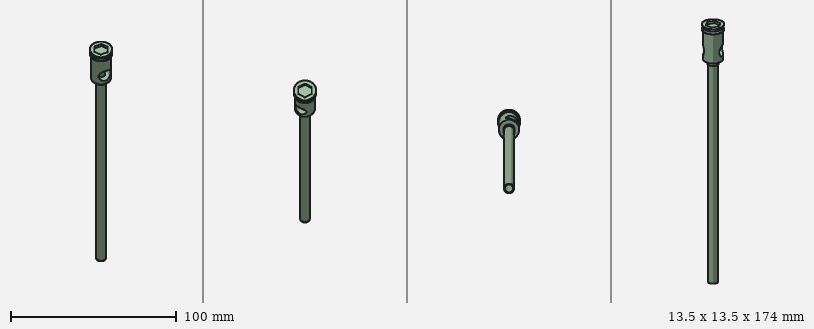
import cadquery as cq
import math

length = 174

rim_diameter = 13.5
body_diameter = 12.4
neck_diameter = 7.0
rod_diameter = 6.1
groove_diameter = 12.2

rim_edge_depth = 0.2
groove_top_depth = 0.9
groove_bottom_depth = 2.1
collar_top_depth = 3.3
collar_bottom_depth = 3.7
body_bottom_depth = 23.5
neck_bottom_depth = 26.6

cross_hole_diameter = 8.0
cross_hole_depth = 16.9

rod_bore_diameter = 4.9

socket_across_flats = 8.0
socket_depth = 1.7


def make_turned_body():
    """Revolve the half section of the rod, neck and flanged head about Z."""
    rim_radius = rim_diameter / 2
    body_radius = body_diameter / 2
    groove_radius = groove_diameter / 2
    neck_radius = neck_diameter / 2
    rod_radius = rod_diameter / 2
    section = [
        (0, length),
        (rim_radius, length),
        (rim_radius, length - rim_edge_depth),
        (groove_radius, length - groove_top_depth),
        (groove_radius, length - groove_bottom_depth),
        (rim_radius, length - collar_top_depth),
        (rim_radius, length - collar_bottom_depth),
        (body_radius, length - collar_bottom_depth),
        (body_radius, length - body_bottom_depth),
        (neck_radius, length - body_bottom_depth),
        (neck_radius, length - neck_bottom_depth),
        (rod_radius, length - neck_bottom_depth),
        (rod_radius, 0),
        (0, 0),
    ]
    return cq.Workplane("XZ").polyline(section).close().revolve(360, (0, 0), (0, 1))


def make_cross_hole():
    """Cylinder along X that passes through the whole head."""
    return (
        cq.Workplane("YZ")
        .center(0, length - cross_hole_depth)
        .circle(cross_hole_diameter / 2)
        .extrude(rim_diameter, both=True)
    )


def make_rod_bore():
    """Cylinder along Z from the rod tip up to the middle of the cross hole."""
    return (
        cq.Workplane("XY")
        .circle(rod_bore_diameter / 2)
        .extrude(length - cross_hole_depth)
    )


def make_socket():
    """Hexagonal prism sunk into the top face, with corners on the Y axis."""
    across_corners = socket_across_flats / math.cos(math.radians(30))
    return (
        cq.Workplane("XY", origin=(0, 0, length))
        .transformed(rotate=(0, 0, 90))
        .polygon(6, across_corners)
        .extrude(-socket_depth)
    )


result = make_turned_body()
for cutter in (make_cross_hole(), make_rod_bore(), make_socket()):
    result = result.cut(cutter)